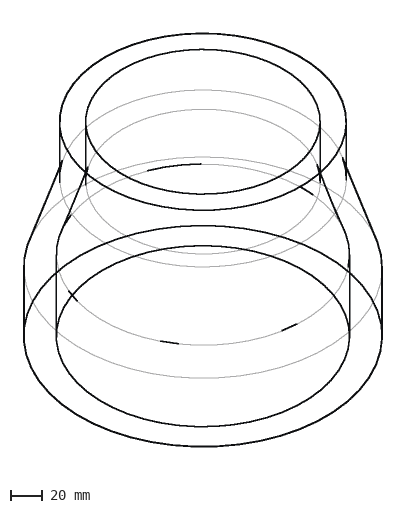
import math

import cadquery as cq

large_diameter = 225.0
small_diameter = 180.0
large_wall = 20.5
small_wall = 16.5
total_height = 171.0
large_spigot_height = 55.0
small_spigot_height = 45.0


def stepped_cone(large_radius, small_radius, cone_base, cone_top):
    """Solid with a large cylinder, a conical transition and a small cylinder on top."""
    return (
        cq.Workplane("XZ")
        .lineTo(large_radius, 0)
        .lineTo(large_radius, cone_base)
        .lineTo(small_radius, cone_top)
        .lineTo(small_radius, total_height)
        .lineTo(0, total_height)
        .close()
        .revolve(360, (0, 0, 0), (0, 1, 0))
    )


large_radius = large_diameter / 2
small_radius = small_diameter / 2
cone_top = total_height - small_spigot_height
body = stepped_cone(large_radius, small_radius, large_spigot_height, cone_top)

large_bore_radius = large_radius - large_wall
small_bore_radius = small_radius - small_wall
cone_angle = math.atan2(large_radius - small_radius, cone_top - large_spigot_height)
bore_cone_top = cone_top - small_wall * math.tan(cone_angle / 2)
bore_cone_height = (large_bore_radius - small_bore_radius) / math.tan(cone_angle)
bore_cone_base = bore_cone_top - bore_cone_height
bore = stepped_cone(large_bore_radius, small_bore_radius, bore_cone_base, bore_cone_top)

result = body.cut(bore)